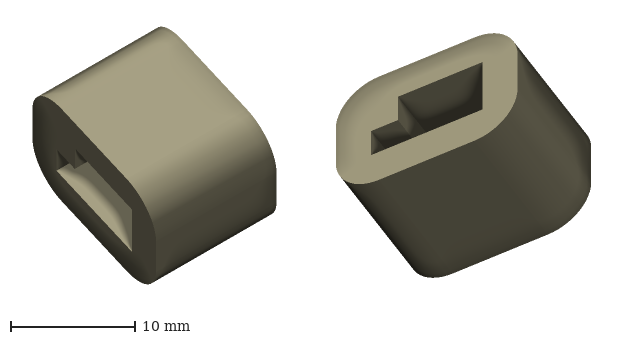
import cadquery as cq

width = 16.8
height = 12.0
depth = 12.0
corner_radius = 4.0

opening_width = 10.28
opening_height = 5.5
step_width = 2.49
step_height = 2.7

body = cq.Workplane("XY").box(width, depth, height).edges("|Y").fillet(corner_radius)

opening = cq.Workplane("XY").box(opening_width, depth, opening_height)
step = (
    cq.Workplane("XY")
    .box(step_width, depth, step_height)
    .translate(((step_width - opening_width) / 2, 0, (opening_height - step_height) / 2))
)

result = body.cut(opening.cut(step))